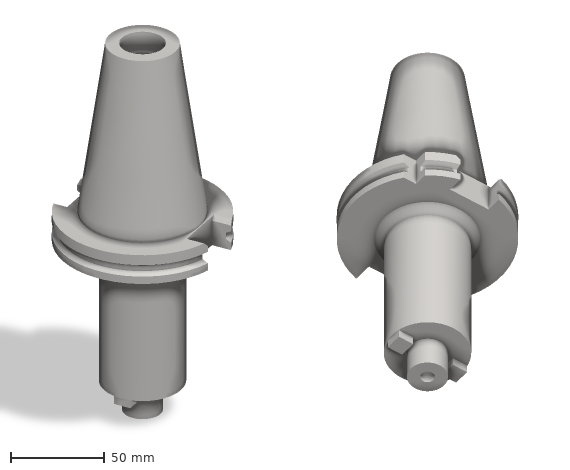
import cadquery as cq
import math


gauge_diameter = 69.85
taper_length = 101.75
taper_ratio = 7 / 24
taper_top_diameter = gauge_diameter - taper_ratio * taper_length

flange_diameter = 97.5
flange_top_z = -1.5
flange_bottom_z = -19.1
groove_center_z = -11.1
groove_opening = 7.0
groove_depth = 3.0
groove_flank_angle = 30.0

slot_width = 25.7
slot_floor_left = 37.7
slot_floor_right = 35.5
slot_chamfer = 2.5
notch_x = -30.3
notch_y = 30.0

shank_diameter = 47.0
shank_bottom_z = -105.0
collar_chamfer = 5.0
pilot_diameter = 22.0
pilot_length = 18.0
pilot_bottom_z = shank_bottom_z - pilot_length

key_width = 10.0
key_height = 5.0
key_inner_y = 13.25
key_outer_y = 22.75

counterbore_diameter = 25.0
counterbore_depth = 11.5
thread_bore_diameter = 21.0
thread_bore_depth = 47.0
clearance_bore_diameter = 12.0
through_bore_diameter = 8.0
total_length = taper_length - pilot_bottom_z
clearance_bore_depth = total_length - 2 * pilot_length


def make_turned_body():
    """Revolve the half outline of taper, flange, shank and pilot."""
    gauge_radius = gauge_diameter / 2
    flange_radius = flange_diameter / 2
    shank_radius = shank_diameter / 2
    pilot_radius = pilot_diameter / 2
    groove_floor_radius = flange_radius - groove_depth
    half_opening = groove_opening / 2
    half_floor = half_opening - groove_depth * math.tan(math.radians(groove_flank_angle))
    outline = [
        (0, taper_length),
        (taper_top_diameter / 2, taper_length),
        (gauge_radius, 0),
        (gauge_radius, flange_top_z),
        (flange_radius, flange_top_z),
        (flange_radius, groove_center_z + half_opening),
        (groove_floor_radius, groove_center_z + half_floor),
        (groove_floor_radius, groove_center_z - half_floor),
        (flange_radius, groove_center_z - half_opening),
        (flange_radius, flange_bottom_z),
        (shank_radius + collar_chamfer, flange_bottom_z),
        (shank_radius, flange_bottom_z - collar_chamfer),
        (shank_radius, shank_bottom_z),
        (pilot_radius, shank_bottom_z),
        (pilot_radius, pilot_bottom_z),
        (0, pilot_bottom_z),
    ]
    return cq.Workplane("XZ").polyline(outline).close().revolve(360, (0, 0, 0), (0, 1, 0))


def make_slot_cutter(floor_x, side):
    """Driving slot, open outward on one side, with chamfered upper edges."""
    half_width = slot_width / 2
    outline = [
        (-half_width, flange_bottom_z),
        (half_width, flange_bottom_z),
        (half_width, flange_top_z - slot_chamfer),
        (half_width + slot_chamfer, flange_top_z),
        (-half_width - slot_chamfer, flange_top_z),
        (-half_width, flange_top_z - slot_chamfer),
    ]
    return (
        cq.Workplane("YZ")
        .workplane(offset=side * floor_x)
        .polyline(outline)
        .close()
        .extrude(side * flange_diameter / 2)
    )


def make_notch_cutter():
    """Square orientation notch through the flange in the -X, +Y quadrant."""
    return (
        cq.Workplane("XY")
        .workplane(offset=flange_bottom_z)
        .moveTo(notch_x, notch_y)
        .rect(-flange_diameter / 2, flange_diameter / 2, centered=False)
        .extrude(flange_top_z - flange_bottom_z)
    )


def make_key(side):
    """Driving key under the shank face, its outer end just inside the shank edge."""
    return (
        cq.Workplane("XY")
        .workplane(offset=shank_bottom_z)
        .center(0, side * (key_inner_y + key_outer_y) / 2)
        .rect(key_width, key_outer_y - key_inner_y)
        .extrude(-key_height)
    )


def make_bore(diameter, depth):
    """Axial bore from the small end of the taper."""
    return cq.Workplane("XY").workplane(offset=taper_length).circle(diameter / 2).extrude(-depth)


result = make_turned_body()
for side in (-1, 1):
    result = result.union(make_key(side))

result = result.cut(make_slot_cutter(slot_floor_left, -1))
result = result.cut(make_slot_cutter(slot_floor_right, 1))
result = result.cut(make_notch_cutter())

for diameter, depth in (
    (counterbore_diameter, counterbore_depth),
    (thread_bore_diameter, thread_bore_depth),
    (clearance_bore_diameter, clearance_bore_depth),
    (through_bore_diameter, total_length),
):
    result = result.cut(make_bore(diameter, depth))